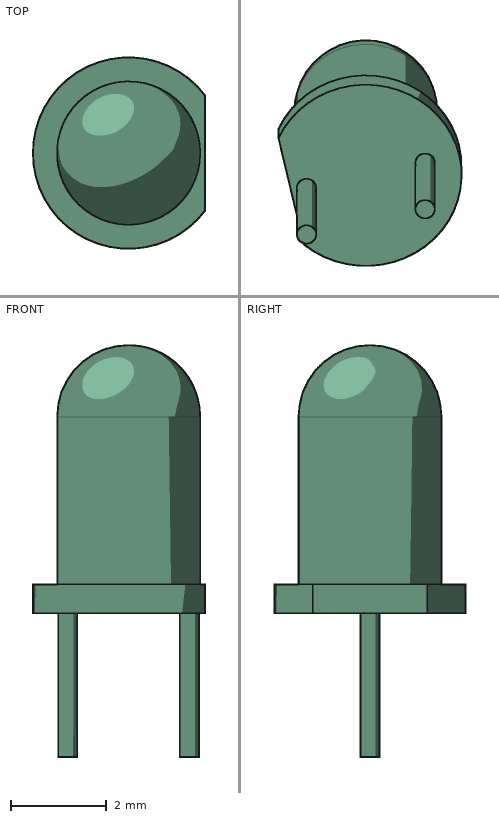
import cadquery as cq

total_height = 8.6
lead_length = 3.0
lead_diameter = 0.4
lead_spacing = 2.54

flange_diameter = 4.0
flange_thickness = 0.6
flat_distance = 1.6

lens_radius = 1.5
lens_height = total_height - lead_length
dome_start = lens_height - lens_radius


def make_flange():
    """Disc with a single flat that marks the polarity."""
    flange_radius = flange_diameter / 2
    disc = cq.Workplane("XY").circle(flange_radius).extrude(flange_thickness)
    keep_width = flange_radius + flat_distance
    keep = (
        cq.Workplane("XY")
        .center(flat_distance - keep_width / 2, 0)
        .rect(keep_width, flange_diameter)
        .extrude(flange_thickness)
    )
    return disc.intersect(keep)


def make_lens():
    """Cylinder ending in a hemispherical dome, revolved from a half profile."""
    return (
        cq.Workplane("XZ")
        .lineTo(lens_radius, 0)
        .lineTo(lens_radius, dome_start)
        .radiusArc((0, lens_height), -lens_radius)
        .close()
        .revolve(360, (0, 0, 0), (0, 1, 0))
    )


def make_leads():
    """Two round leads below the flange, spaced evenly about the lens axis."""
    return (
        cq.Workplane("XY")
        .pushPoints([(side * lead_spacing / 2, 0) for side in (-1, 1)])
        .circle(lead_diameter / 2)
        .extrude(-lead_length)
    )


result = make_flange().union(make_lens()).union(make_leads())